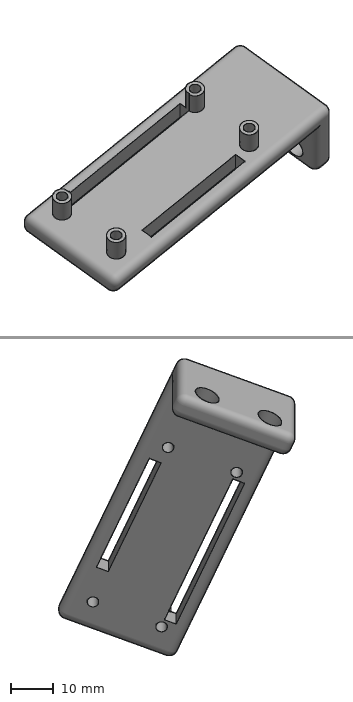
import cadquery as cq

length = 75.0
width = 30.0
plate_thickness = width / 6
leg_thickness = 6.0
leg_drop = 15.0
edge_radius = 2.0

box_margin = 0.75

post_diameter = 4.5
post_bore = 2.7
post_height = 6.0
post_spacing_x = 17.5
post_rows_y = (-30.0, 15.5)

slot_width = 3.0
left_slot_x = -10.1
left_slot_ends = (-28.0, 13.5)
right_slot_x = 10.1
right_slot_ends = (-21.0, 11.0)

leg_hole_diameter = 6.0
leg_hole_spacing = 16.0
leg_hole_z = -10.0

back_y = length / 2
post_points = [(side * post_spacing_x / 2, y) for side in (-1, 1) for y in post_rows_y]


def rounded_bracket():
    """L-shaped body with every edge rounded except the sharp inner corner."""
    profile = [
        (-back_y, 0),
        (back_y - leg_thickness, 0),
        (back_y - leg_thickness, -leg_drop),
        (back_y, -leg_drop),
        (back_y, plate_thickness),
        (-back_y, plate_thickness),
    ]
    body = cq.Workplane("YZ").polyline(profile).close().extrude(width / 2, both=True)
    inner_y = back_y - leg_thickness
    inner_corner = cq.selectors.BoxSelector(
        (-box_margin, inner_y - box_margin, -box_margin),
        (box_margin, inner_y + box_margin, box_margin),
    )
    outer_edges = cq.selectors.InverseSelector(inner_corner)
    return body.edges(outer_edges).fillet(edge_radius)


def plate_slot(center_x, ends):
    """Cutter for a rectangular slot along Y, tall enough to clear the posts."""
    start, end = ends
    return (
        cq.Workplane("XY")
        .center(center_x, (start + end) / 2)
        .rect(slot_width, end - start)
        .extrude(plate_thickness + post_height)
    )


def cylinders_on_plate(diameter, start_z, height):
    """Upright cylinders at the four post positions."""
    return (
        cq.Workplane("XY", origin=(0, 0, start_z))
        .pushPoints(post_points)
        .circle(diameter / 2)
        .extrude(height)
    )


def leg_holes():
    """Cutters for the pair of holes running along Y through the leg."""
    return (
        cq.Workplane("XZ", origin=(0, back_y, 0))
        .pushPoints([(side * leg_hole_spacing / 2, leg_hole_z) for side in (-1, 1)])
        .circle(leg_hole_diameter / 2)
        .extrude(leg_thickness)
    )


result = (
    rounded_bracket()
    .union(cylinders_on_plate(post_diameter, plate_thickness, post_height))
    .cut(plate_slot(left_slot_x, left_slot_ends))
    .cut(plate_slot(right_slot_x, right_slot_ends))
    .cut(cylinders_on_plate(post_bore, 0, plate_thickness + post_height))
    .cut(leg_holes())
)